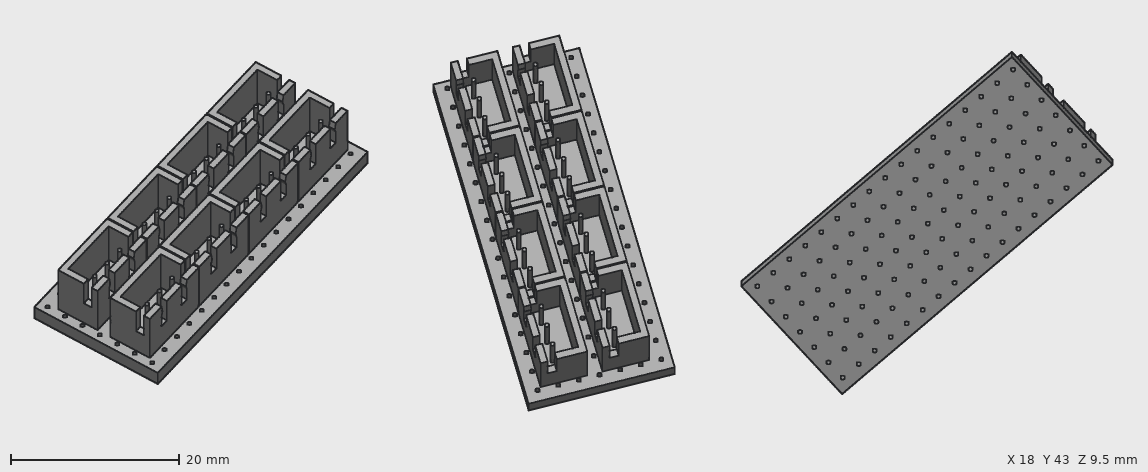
import cadquery as cq

board_size_x = 18.0
board_size_y = 43.0
board_thickness = 2.0
hole_diameter = 0.5
hole_pitch = 2.54
hole_columns = 7
hole_rows = 17
first_hole_x = 1.27
first_hole_y = 0.94

pin_diameter = 0.5
pins_per_header = 3
pin_top = 8.5
header_columns = 2
header_rows = 4
header_pitch_x = 3 * hole_pitch
header_pitch_y = 4 * hole_pitch
first_pin_x = first_hole_x + 2 * hole_pitch
first_pin_y = first_hole_y + hole_pitch

shroud_width = 5.75
shroud_length = 10.0
shroud_bottom = 2.5
shroud_top = 9.5
pin_to_left_side = 3.6
wall = 0.875
floor_top = 3.5
pin_to_end = (shroud_length - (pins_per_header - 1) * hole_pitch) / 2

end_slot_left = 0.15
slot_floor = 6.0
slot_depth = shroud_top - slot_floor
end_slot_width = shroud_width - pin_to_left_side - wall - end_slot_left

tab_length = 3.0
side_slot_width = 1.1
barb_reach = 0.2
barb_tip = 8.5
barb_bottom = 7.8


def box(x, y, z, size_x, size_y, size_z):
    return cq.Workplane("XY").box(size_x, size_y, size_z, centered=False).translate((x, y, z))


def make_board():
    holes = [
        (first_hole_x + column * hole_pitch, first_hole_y + row * hole_pitch)
        for column in range(hole_columns)
        for row in range(hole_rows)
    ]
    drills = cq.Workplane("XY").pushPoints(holes).circle(hole_diameter / 2).extrude(board_thickness)
    return box(0, 0, 0, board_size_x, board_size_y, board_thickness).cut(drills)


def make_shroud():
    """Open-topped housing with its first pin axis on the origin."""
    left = -pin_to_left_side
    front = -pin_to_end
    body = box(left, front, shroud_bottom, shroud_width, shroud_length, shroud_top - shroud_bottom)
    cavity = box(
        left + wall,
        front + wall,
        floor_top,
        shroud_width - 2 * wall,
        shroud_length - 2 * wall,
        shroud_top - floor_top,
    )
    end_slots = box(end_slot_left, front, slot_floor, end_slot_width, shroud_length, slot_depth)
    body = body.cut(cavity).cut(end_slots)

    right_wall_x = left + shroud_width - wall
    back_slot = make_side_slot(right_wall_x).translate((0, front + shroud_length / 2, 0))
    front_slot = back_slot.mirror("XZ", (0, front + shroud_length / 2, 0))
    return body.cut(back_slot).cut(front_slot)


def make_side_slot(wall_x):
    """Cutter for the slot on the +Y side of the tab, measured from the middle of the wall."""
    tab_flank = tab_length / 2
    outer_flank = tab_flank + side_slot_width
    outline = [
        (tab_flank, slot_floor),
        (outer_flank, slot_floor),
        (outer_flank, barb_bottom),
        (outer_flank - barb_reach, barb_tip),
        (outer_flank, shroud_top),
        (tab_flank, shroud_top),
    ]
    return cq.Workplane("YZ", origin=(wall_x, 0, 0)).polyline(outline).close().extrude(wall)


def make_header(x, y):
    """Shroud with its pins, which run down through the board to its underside."""
    pin_places = [(0, index * hole_pitch) for index in range(pins_per_header)]
    pins = cq.Workplane("XY").pushPoints(pin_places).circle(pin_diameter / 2).extrude(pin_top)
    return make_shroud().union(pins).translate((x, y, 0))


board = make_board()
headers = [
    make_header(first_pin_x + column * header_pitch_x, first_pin_y + row * header_pitch_y)
    for column in range(header_columns)
    for row in range(header_rows)
]

result = cq.Compound.makeCompound([board.val(), *[header.val() for header in headers]])